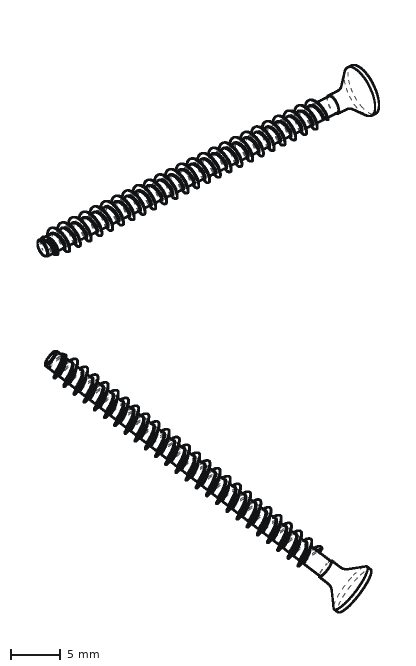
import cadquery as cq
import math

length = 40.0
head_radius = 5.5 / 2
head_rim_height = 0.5
head_cone_angle = 45.0
neck_fillet_radius = 1.2
shank_radius = 1.05
shank_end = 3.8
core_radius = 0.95
tip_chamfer = 0.1

pitch = 1.34
crest_radius = 1.5
crest_half_width = 0.05
flank_angle = 12.0
flare_radius = 1.0
root_radius = 0.86
root_half_width = 0.55
crest_depth_at_plus_x = 5.5

runout_start = 3.3
full_thread_start = 5.0
full_thread_end = 38.0
runout_end = 39.6

runout_turns = 2
middle_section_turns = 6
middle_section_count = 4


def make_body():
    """Head, neck fillet, shank and core as one turned body along local Z."""
    cone_angle = math.radians(head_cone_angle)
    cone_length = (head_radius - shank_radius) / math.tan(cone_angle)
    neck_depth = head_rim_height + cone_length

    tangent_length = neck_fillet_radius * math.tan(cone_angle / 2)
    fillet_start = (
        shank_radius + tangent_length * math.sin(cone_angle),
        -neck_depth + tangent_length * math.cos(cone_angle),
    )
    fillet_end_depth = neck_depth + tangent_length
    half_angle = cone_angle / 2
    fillet_middle = (
        shank_radius + neck_fillet_radius * (1 - math.cos(half_angle)),
        -fillet_end_depth + neck_fillet_radius * math.sin(half_angle),
    )

    return (
        cq.Workplane("YZ")
        .moveTo(0, 0)
        .lineTo(head_radius, 0)
        .lineTo(head_radius, -head_rim_height)
        .lineTo(*fillet_start)
        .threePointArc(fillet_middle, (shank_radius, -fillet_end_depth))
        .lineTo(shank_radius, -shank_end)
        .lineTo(core_radius, -shank_end)
        .lineTo(core_radius, -length + tip_chamfer)
        .lineTo(core_radius - tip_chamfer, -length)
        .lineTo(0, -length)
        .close()
        .revolve(360, (0, 0, 0), (0, 1, 0))
    )


def make_thread_section(start_depth, turns):
    """Right-handed helical ridge of constant section, rising from a crest on the +X side."""
    start_z = -start_depth
    helix = cq.Wire.makeHelix(pitch, turns * pitch, core_radius, center=cq.Vector(0, 0, start_z))

    flank_height = crest_radius - flare_radius
    flare_half_width = crest_half_width + flank_height * math.tan(math.radians(flank_angle))
    profile = (
        cq.Workplane("XZ")
        .polyline(
            [
                (root_radius, start_z - root_half_width),
                (flare_radius, start_z - flare_half_width),
                (crest_radius, start_z - crest_half_width),
                (crest_radius, start_z + crest_half_width),
                (flare_radius, start_z + flare_half_width),
                (root_radius, start_z + root_half_width),
            ]
        )
        .close()
    )
    return profile.sweep(cq.Workplane(helix), isFrenet=True)


def make_thread_envelope():
    """Turned volume that trims the ridge so that both ends taper into the body."""
    outer_radius = crest_radius + crest_half_width
    return (
        cq.Workplane("XZ")
        .polyline(
            [
                (0, -runout_start),
                (core_radius, -runout_start),
                (outer_radius, -full_thread_start),
                (outer_radius, -full_thread_end),
                (core_radius, -runout_end),
                (0, -runout_end),
            ]
        )
        .close()
        .revolve(360, (0, 0, 0), (0, 1, 0))
    )


def add_thread(body):
    """Join the thread to the body in short sections that follow on from each other."""
    envelope = make_thread_envelope()

    section_end = crest_depth_at_plus_x
    top_runout = make_thread_section(section_end, runout_turns).intersect(envelope)
    body = body.union(top_runout, clean=False)

    for _ in range(middle_section_count):
        section_end += middle_section_turns * pitch
        body = body.union(make_thread_section(section_end, middle_section_turns), clean=False)

    section_end += runout_turns * pitch
    tip_runout = make_thread_section(section_end, runout_turns).intersect(envelope)
    return body.union(tip_runout, clean=False)


screw = add_thread(make_body())

result = screw.rotate((0, 0, 0), (1, 0, 0), -90)